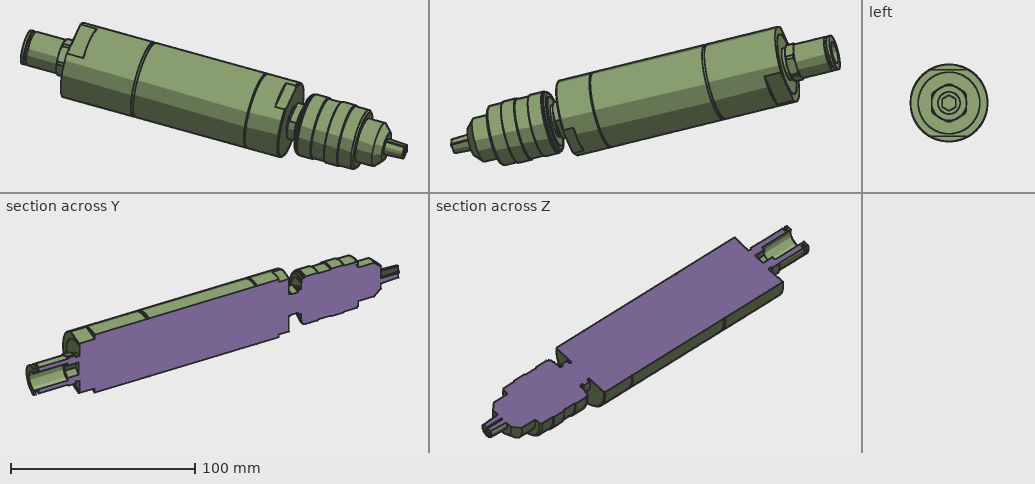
import cadquery as cq
import math

LENGTH = 218.5

FITTING_DIA = 19.0
COLLAR_LENGTH = 1.5
COLLAR_GROOVE_DIA = 14.9
COLLAR_GROOVE_LENGTH = 1.5
NUT_START = 20.3
NUT_END = 25.4
NUT_ACROSS_FLATS = 18.5
NUT_ROUND_DIA = 20.5
NUT_CHAMFER = 0.7
FITTING_NECK_DIA = 18.0
FITTING_BORE_DIA = 12.0
FITTING_BORE_DEPTH = NUT_START
HEX_SOCKET_ACROSS_FLATS = 7.5
HEX_SOCKET_DEPTH = 6.5

BODY_DIA = 42.0
BODY_START = 27.0
BODY_END = 152.5
BODY_CHAMFER = 0.7
JOINT_DIA = 41.5
REAR_JOINT_START = 67.5
REAR_JOINT_WIDTH = 1.3
FRONT_JOINT_START = 132.7
FRONT_JOINT_WIDTH = 0.7
REAR_FLAT_HEIGHT = 18.0
REAR_FLAT_LENGTH = 9.5
FRONT_FLAT_HEIGHT = 19.0
FRONT_FLAT_LENGTH = 6.1
FACE_RECESS_DIA = 33.5
FACE_RECESS_DEPTH = 0.2

SPINDLE_NECK_DIA = 16.0
WRENCH_START = 153.6
WRENCH_END = 157.8
WRENCH_DIA = 20.3
WRENCH_ACROSS_FLATS = 15.0
SPINDLE_DISC_DIA = 18.0
SPINDLE_DISC_EDGE = 0.5

SLEEVE_START = 159.5
SLEEVE_REAR_DIA = 27.5
SLEEVE_REAR_LENGTH = 0.5
SHOULDER_DIA = 31.5
SHOULDER_BEVEL = 0.9
BAND_START = 162.2
BAND_DIA = 34.5
LOW_BAND_DIA = 33.5
BAND_LENGTH = 7.6
BAND_COUNT = 4
BAND_STEP = 0.5
SLEEVE_TIP_BEVEL = 1.0
SLEEVE_TIP_DIA = 31.3

NOSE_DIA = 24.5
NOSE_CONE_START = 203.3
NOSE_END = 207.5
NOSE_TIP_DIA = 16.0
JAW_BASE_DIA = 9.0
JAW_TIP_DIA = 7.9
JAW_COUNT = 3
JAW_GAP = 0.7
PIN_DIA = 1.5
PIN_LENGTH = 0.7
PIN_OFFSET = 2.0
PIN_ANGLE = -30.0
JAW_END = LENGTH - PIN_LENGTH


def rod(start, end, diameter):
    """Cylinder along X."""
    return cq.Workplane("YZ", origin=(start, 0, 0)).circle(diameter / 2).extrude(end - start)


def hex_bar(start, end, across_flats):
    """Hexagonal bar along X with two faces square to Y."""
    corner_dia = across_flats / math.cos(math.radians(30))
    plane = cq.Plane(origin=(start, 0, 0), xDir=(0, 0, 1), normal=(1, 0, 0))
    return cq.Workplane(plane).polygon(6, corner_dia).extrude(end - start)


def turned(profile):
    """Solid of revolution about X from (x, diameter) pairs."""
    outline = [(x, diameter / 2) for x, diameter in profile]
    axis_start = (profile[0][0], 0)
    axis_end = (profile[-1][0], 0)
    section = cq.Workplane("XY").polyline([axis_start] + outline + [axis_end]).close()
    return section.revolve(360, (0, 0, 0), (1, 0, 0))


def flats(start, end, height):
    """Cutters that leave flats at z = +height and z = -height."""
    slab = cq.Workplane("XY").box(end - start, BODY_DIA, BODY_DIA)
    middle = (start + end) / 2
    offset = height + BODY_DIA / 2
    return slab.translate((middle, 0, offset)).union(slab.translate((middle, 0, -offset)))


def make_fitting():
    groove_end = COLLAR_LENGTH + COLLAR_GROOVE_LENGTH
    fitting = rod(0, COLLAR_LENGTH, FITTING_DIA)
    fitting = fitting.union(rod(COLLAR_LENGTH, groove_end, COLLAR_GROOVE_DIA))
    fitting = fitting.union(rod(groove_end, NUT_START, FITTING_DIA))
    corner_round = rod(NUT_START, NUT_END, NUT_ROUND_DIA).edges().chamfer(NUT_CHAMFER)
    fitting = fitting.union(hex_bar(NUT_START, NUT_END, NUT_ACROSS_FLATS).intersect(corner_round))
    fitting = fitting.union(rod(NUT_END, BODY_START + FACE_RECESS_DEPTH, FITTING_NECK_DIA))
    socket_end = FITTING_BORE_DEPTH + HEX_SOCKET_DEPTH
    fitting = fitting.cut(rod(0, FITTING_BORE_DEPTH, FITTING_BORE_DIA))
    return fitting.cut(hex_bar(FITTING_BORE_DEPTH, socket_end, HEX_SOCKET_ACROSS_FLATS))


def make_body():
    body = rod(BODY_START, BODY_END, BODY_DIA).faces(">X").edges().chamfer(BODY_CHAMFER)
    joints = [(REAR_JOINT_START, REAR_JOINT_WIDTH), (FRONT_JOINT_START, FRONT_JOINT_WIDTH)]
    for start, width in joints:
        ring = rod(start, start + width, BODY_DIA).cut(rod(start, start + width, JOINT_DIA))
        body = body.cut(ring)
    body = body.cut(flats(BODY_START, BODY_START + REAR_FLAT_LENGTH, REAR_FLAT_HEIGHT))
    body = body.cut(flats(BODY_END - FRONT_FLAT_LENGTH, BODY_END, FRONT_FLAT_HEIGHT))
    return body.cut(rod(BODY_START, BODY_START + FACE_RECESS_DEPTH, FACE_RECESS_DIA))


def make_spindle():
    wrench = rod(WRENCH_START, WRENCH_END, WRENCH_DIA)
    wrench = wrench.cut(flats(WRENCH_START, WRENCH_END, WRENCH_ACROSS_FLATS / 2))
    disc = rod(WRENCH_END, SLEEVE_START, SPINDLE_DISC_DIA)
    disc = disc.faces("<X").edges().chamfer(SPINDLE_DISC_EDGE)
    return rod(BODY_END, WRENCH_START, SPINDLE_NECK_DIA).union(wrench).union(disc)


def make_chuck():
    shoulder_start = SLEEVE_START + SLEEVE_REAR_LENGTH
    profile = [
        (SLEEVE_START, SLEEVE_REAR_DIA),
        (shoulder_start, SLEEVE_REAR_DIA),
        (shoulder_start, SHOULDER_DIA),
        (shoulder_start + SHOULDER_BEVEL, LOW_BAND_DIA),
        (BAND_START - BAND_STEP, LOW_BAND_DIA),
        (BAND_START, BAND_DIA),
    ]
    for band in range(1, BAND_COUNT):
        step = BAND_START + band * BAND_LENGTH
        diameters = (BAND_DIA, LOW_BAND_DIA) if band % 2 else (LOW_BAND_DIA, BAND_DIA)
        profile.append((step - BAND_STEP / 2, diameters[0]))
        profile.append((step + BAND_STEP / 2, diameters[1]))
    sleeve_end = BAND_START + BAND_COUNT * BAND_LENGTH + SLEEVE_TIP_BEVEL
    profile += [
        (sleeve_end - SLEEVE_TIP_BEVEL, LOW_BAND_DIA),
        (sleeve_end, SLEEVE_TIP_DIA),
        (sleeve_end, NOSE_DIA),
        (NOSE_CONE_START, NOSE_DIA),
        (NOSE_END, NOSE_TIP_DIA),
    ]
    return turned(profile)


def make_jaws():
    jaws = turned([(NOSE_END, JAW_BASE_DIA), (JAW_END, JAW_TIP_DIA)])
    gap = cq.Workplane("XY").box(JAW_END - NOSE_END, JAW_GAP, JAW_BASE_DIA, centered=(False, True, False))
    for index in range(JAW_COUNT):
        angle = index * 360 / JAW_COUNT
        jaws = jaws.cut(gap.translate((NOSE_END, 0, 0)).rotate((0, 0, 0), (1, 0, 0), angle))
    pin_y = PIN_OFFSET * math.cos(math.radians(PIN_ANGLE))
    pin_z = PIN_OFFSET * math.sin(math.radians(PIN_ANGLE))
    pin = rod(JAW_END, LENGTH, PIN_DIA).translate((0, pin_y, pin_z))
    return jaws.union(pin)


result = make_fitting().union(make_body()).union(make_spindle()).union(make_chuck()).union(make_jaws())